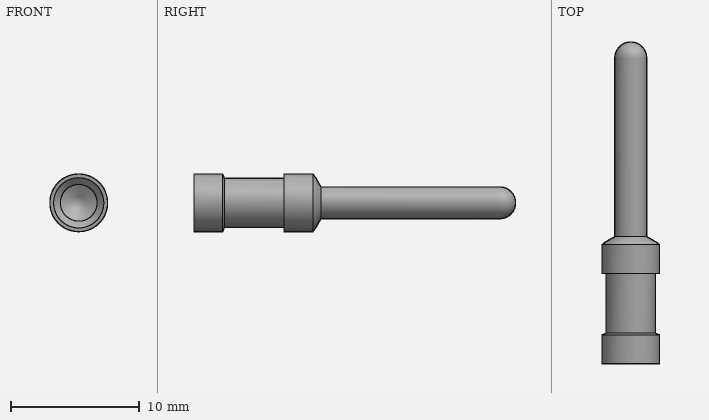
import cadquery as cq
import math

total_length = 25.0
rear_collar_end = 2.25
rear_collar_chamfer = 0.12
front_collar_start = 7.0
front_collar_end = 9.25
shoulder_end = 9.88

collar_radius = 2.25
barrel_radius = 1.92
pin_radius = 1.25

cone_break = 9.5
cone_break_radius = 1.92

mouth_radius = 1.95
bore_radius = 1.42
countersink_depth = 0.52
bore_depth = 6.0
drill_tip_angle = 131.0


def make_body():
    """Turned outside shape with a hemispherical pin tip."""
    tip_start = total_length - pin_radius
    tip_mid = pin_radius * math.sqrt(0.5)
    return (
        cq.Workplane("XY")
        .lineTo(collar_radius, 0)
        .lineTo(collar_radius, rear_collar_end)
        .lineTo(barrel_radius, rear_collar_end + rear_collar_chamfer)
        .lineTo(barrel_radius, front_collar_start)
        .lineTo(collar_radius, front_collar_start)
        .lineTo(collar_radius, front_collar_end)
        .lineTo(cone_break_radius, cone_break)
        .lineTo(pin_radius, shoulder_end)
        .lineTo(pin_radius, tip_start)
        .threePointArc((tip_mid, tip_start + tip_mid), (0, total_length))
        .close()
        .revolve(360, (0, 0), (0, 1))
    )


def make_bore():
    """Wire hole to be removed from the open end."""
    tip_depth = bore_radius / math.tan(math.radians(drill_tip_angle / 2))
    return (
        cq.Workplane("XY")
        .lineTo(mouth_radius, 0)
        .lineTo(bore_radius, countersink_depth)
        .lineTo(bore_radius, bore_depth)
        .lineTo(0, bore_depth + tip_depth)
        .close()
        .revolve(360, (0, 0), (0, 1))
    )


result = make_body().cut(make_bore())